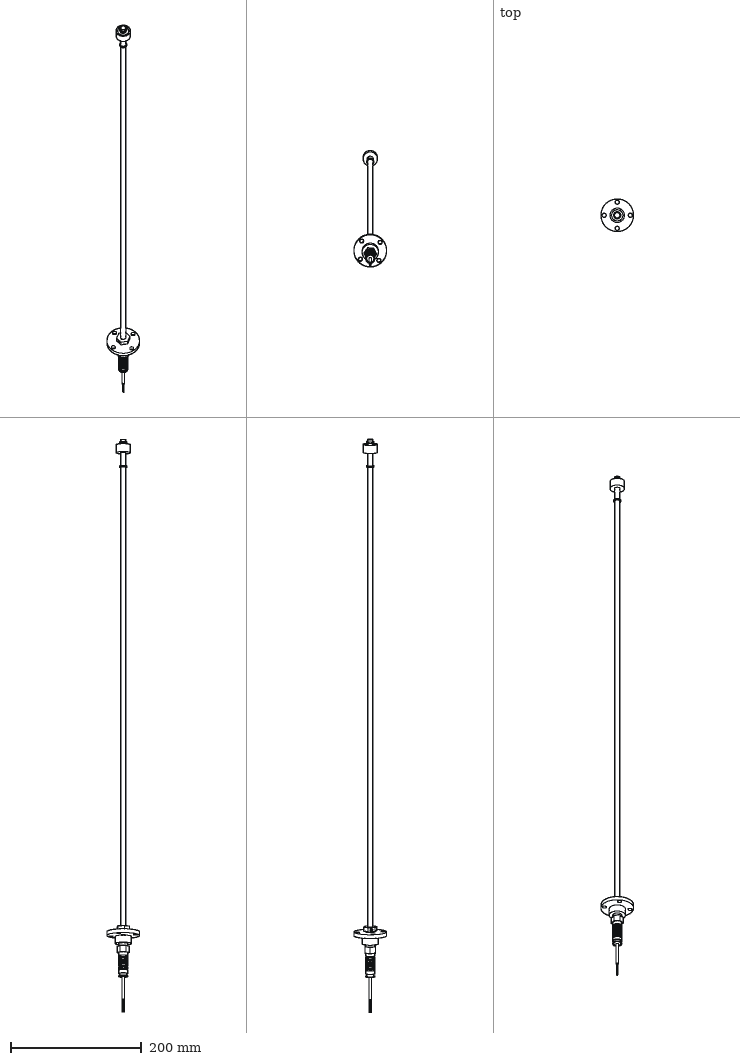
import cadquery as cq
import math


flange_diameter = 50.0
flange_thickness = 6.0
bolt_hole_diameter = 6.0
bolt_circle_diameter = 40.0
bolt_hole_count = 4
fitting_hex_across_flats = 18.0
fitting_hex_height = 6.5
set_screw_hole_diameter = 4.0
collar_diameter = 25.0
collar_length = 11.0
neck_diameter = 14.0
flange_neck_length = 1.5
gland_neck_length = 4.0

stem_diameter = 8.0
stem_socket_depth = 10.0
stem_top = 770.0
ring_outer_diameter = 11.0
ring_thickness = 2.0
upper_ring_gap = 3.2
ring_spacing = 37.4
float_diameter = 22.0
float_bore_diameter = 9.0
float_height = 12.6
float_clearance = 2.3
float_recess_diameter = 17.0
float_recess_depth = 1.0

gland_hex_across_flats = 16.0
gland_hex_turn = 15.0
gland_hex_height = 10.0
relief_diameter = 14.0
relief_core_diameter = 11.0
relief_length = 37.31
relief_plain_length = 5.0
relief_rib_width = 2.0
relief_groove_width = 2.0
relief_groove_count = 6
end_groove_width = 3.8
end_rim_width = 1.0

cable_diameter = 4.0
cable_exposed_length = 35.0
wire_diameter = 1.4
wire_length = 20.0
wire_spacing = 2.0

flange_top = flange_thickness
fitting_hex_bottom = flange_top + flange_neck_length
fitting_top = fitting_hex_bottom + fitting_hex_height
collar_top = -flange_neck_length
collar_bottom = collar_top - collar_length
gland_top = collar_bottom - gland_neck_length
relief_top = gland_top - gland_hex_height
relief_bottom = relief_top - relief_length
cable_bottom = relief_bottom - cable_exposed_length
upper_ring_top = stem_top - upper_ring_gap


def cylinder(diameter, bottom, top):
    return cq.Workplane("XY", origin=(0, 0, bottom)).circle(diameter / 2).extrude(top - bottom)


def hexagon(across_flats, bottom, top):
    """Hexagonal prism with two corners on the X axis."""
    across_corners = across_flats / math.cos(math.radians(30))
    return cq.Workplane("XY", origin=(0, 0, bottom)).polygon(6, across_corners).extrude(top - bottom)


def make_fitting():
    neck = cylinder(neck_diameter, gland_top, fitting_hex_bottom)
    collar = cylinder(collar_diameter, collar_bottom, collar_top)
    plate = cylinder(flange_diameter, 0, flange_top)
    bolt_holes = (
        cq.Workplane("XY")
        .polarArray(bolt_circle_diameter / 2, 0, 360, bolt_hole_count)
        .circle(bolt_hole_diameter / 2)
        .extrude(flange_thickness)
    )
    head = hexagon(fitting_hex_across_flats, fitting_hex_bottom, fitting_top)
    set_screw_hole = (
        cq.Workplane("XZ", origin=(0, 0, fitting_hex_bottom + fitting_hex_height / 2))
        .circle(set_screw_hole_diameter / 2)
        .extrude(fitting_hex_across_flats)
    )
    stem_socket = cylinder(stem_diameter, -stem_socket_depth, fitting_top)
    fitting = plate.cut(bolt_holes).union(neck).union(collar).union(head)
    return fitting.cut(set_screw_hole).cut(stem_socket)


def make_stem():
    return cylinder(stem_diameter, -stem_socket_depth, stem_top)


def make_stop_ring(top):
    bottom = top - ring_thickness
    return cylinder(ring_outer_diameter, bottom, top).cut(cylinder(stem_diameter, bottom, top))


def make_float():
    """Ring-shaped float, free to slide below the upper stop ring."""
    top = upper_ring_top - ring_thickness - float_clearance
    bottom = top - float_height
    bore = cylinder(float_bore_diameter, bottom, top)
    recess = cylinder(float_recess_diameter, top - float_recess_depth, top)
    return cylinder(float_diameter, bottom, top).cut(bore).cut(recess)


def relief_groove(top, width):
    ring = cylinder(relief_diameter, top - width, top)
    return ring.cut(cylinder(relief_core_diameter, top - width, top))


def make_gland():
    gland = hexagon(gland_hex_across_flats, relief_top, gland_top)
    gland = gland.rotate((0, 0, 0), (0, 0, 1), gland_hex_turn)
    gland = gland.union(cylinder(relief_diameter, relief_bottom, relief_top))
    pitch = relief_rib_width + relief_groove_width
    for index in range(relief_groove_count):
        groove_top = relief_top - relief_plain_length - index * pitch
        gland = gland.cut(relief_groove(groove_top, relief_groove_width))
    end_groove_top = relief_bottom + end_rim_width + end_groove_width
    gland = gland.cut(relief_groove(end_groove_top, end_groove_width))
    return gland.cut(cylinder(cable_diameter, relief_bottom, gland_top))


def make_cable():
    return cylinder(cable_diameter, cable_bottom, gland_top)


def make_wire(side):
    wire = cylinder(wire_diameter, cable_bottom - wire_length, cable_bottom)
    return wire.translate((side * wire_spacing / 2, 0, 0))


fitting = make_fitting()
stem = make_stem()
stop_rings = [make_stop_ring(upper_ring_top - index * ring_spacing) for index in range(2)]
float_body = make_float()
gland = make_gland()
cable = make_cable()
wires = [make_wire(side) for side in (-1, 1)]

result = cq.Compound.makeCompound([
    fitting.val(),
    stem.val(),
    *[ring.val() for ring in stop_rings],
    float_body.val(),
    gland.val(),
    cable.val(),
    *[wire.val() for wire in wires],
])